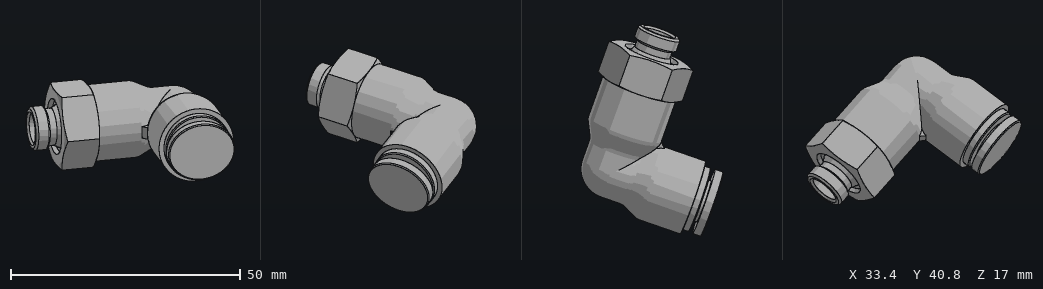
import cadquery as cq
import math


ELBOW_RADIUS = 13.0 / 2
ARM_RADIUS = 16.9 / 2
ARM_LENGTH = 19.05
SHOULDER_START = 4.97
SHOULDER_END = 8.95
SHOULDER_FILLET = 2.0
WEB_THICKNESS = 2.65
WEB_REACH = 17.95

HEX_FLATS = 17.0
HEX_CORNERS = HEX_FLATS / math.cos(math.radians(30))
HEX_LENGTH = 7.95
HEX_CHAMFER_HEIGHT = 0.4
THREAD_RADIUS = 9.75 / 2
THREAD_LENGTH = 2.8
THREAD_CHAMFER = 0.5
THREAD_BACK_TAPER = 0.5
NECK_RADIUS = 8.2 / 2
NECK_FLARE_HEIGHT = 0.5
NECK_FOOT_RADIUS = THREAD_RADIUS
RECESS_MOUTH_RADIUS = 12.22 / 2
RECESS_FLOOR_RADIUS = 11.65 / 2
RECESS_DEPTH = 1.0
BORE_RADIUS = 6.4 / 2
BORE_CHAMFER = 0.5
OVERALL_LENGTH = 40.75
STUD_LENGTH = OVERALL_LENGTH - ARM_RADIUS - ARM_LENGTH

COLLAR_RADIUS = 14.7 / 2
COLLAR_LENGTH = 1.7
COLLAR_CHAMFER = 0.25

OVERALL_WIDTH = 33.4
SLEEVE_START = ARM_LENGTH + COLLAR_LENGTH
SLEEVE_END = OVERALL_WIDTH - HEX_CORNERS / 2
SLEEVE_NECK_RADIUS = 9.6 / 2
FLANGE_WIDTH = 15.0
FLANGE_HEIGHT = 12.95
FLANGE_THICKNESS = 2.05
FLANGE_CHAMFER = 0.25


def make_arm():
    """Solid arm along +X: thin tube, filleted conical shoulder, wide barrel."""
    arm = (
        cq.Workplane("XY")
        .polyline([
            (0, 0),
            (0, ELBOW_RADIUS),
            (SHOULDER_START, ELBOW_RADIUS),
            (SHOULDER_END, ARM_RADIUS),
            (ARM_LENGTH, ARM_RADIUS),
            (ARM_LENGTH, 0),
        ])
        .close()
        .revolve(360, (0, 0, 0), (1, 0, 0))
    )
    inner_corner = arm.edges("%CIRCLE").edges(">>X[1]")
    outer_corner = arm.edges("%CIRCLE").edges(">>X[2]")
    return inner_corner.add(outer_corner).fillet(SHOULDER_FILLET)


def make_web():
    """Triangular web that fills the inner corner between the two barrels."""
    return (
        cq.Workplane("XY")
        .polyline([
            (WEB_REACH - ARM_RADIUS, -ARM_RADIUS),
            (0, 0),
            (ARM_RADIUS, ARM_RADIUS - WEB_REACH),
        ])
        .close()
        .extrude(WEB_THICKNESS / 2, both=True)
    )


def make_elbow():
    """Elbow housing: two equal arms, a ball on the outer bend and the web."""
    port_arm = make_arm()
    stud_arm = port_arm.rotate((0, 0, 0), (0, 0, 1), -90)
    corner_ball = cq.Workplane("XY").sphere(ELBOW_RADIUS)
    return port_arm.union(stud_arm).union(corner_ball).union(make_web())


def make_hexagon():
    """Hexagon along +Z from z = 0, corners on X, both ends turned to a shallow cone."""
    hexagon = cq.Workplane("XY").polygon(6, HEX_CORNERS).extrude(HEX_LENGTH)
    turned = (
        cq.Workplane("XZ")
        .polyline([
            (0, 0),
            (HEX_FLATS / 2, 0),
            (HEX_CORNERS / 2, HEX_CHAMFER_HEIGHT),
            (HEX_CORNERS / 2, HEX_LENGTH - HEX_CHAMFER_HEIGHT),
            (HEX_FLATS / 2, HEX_LENGTH),
            (0, HEX_LENGTH),
        ])
        .close()
        .revolve(360, (0, 0, 0), (0, 1, 0))
    )
    return hexagon.intersect(turned)


def make_recess():
    """Tapered recess in the hexagon's outer face."""
    return (
        cq.Workplane("XY", origin=(0, 0, HEX_LENGTH - RECESS_DEPTH))
        .circle(RECESS_FLOOR_RADIUS)
        .workplane(offset=RECESS_DEPTH)
        .circle(RECESS_MOUTH_RADIUS)
        .loft()
    )


def make_spigot():
    """Solid spigot along +Z: flared foot on the recess floor, neck, chamfered thread."""
    thread_start = STUD_LENGTH - THREAD_LENGTH
    floor = HEX_LENGTH - RECESS_DEPTH
    return (
        cq.Workplane("XZ")
        .moveTo(0, floor)
        .lineTo(NECK_FOOT_RADIUS, floor)
        .lineTo(NECK_RADIUS, HEX_LENGTH + NECK_FLARE_HEIGHT)
        .lineTo(NECK_RADIUS, thread_start - THREAD_BACK_TAPER)
        .lineTo(THREAD_RADIUS, thread_start)
        .lineTo(THREAD_RADIUS, STUD_LENGTH - THREAD_CHAMFER)
        .lineTo(THREAD_RADIUS - THREAD_CHAMFER, STUD_LENGTH)
        .lineTo(0, STUD_LENGTH)
        .close()
        .revolve(360, (0, 0, 0), (0, 1, 0))
    )


def make_stud():
    """Hexagonal stud on the -Y arm, bored right through."""
    stud = make_hexagon().cut(make_recess()).union(make_spigot())
    stud = stud.faces(">Z").workplane().circle(BORE_RADIUS).cutThruAll()
    bore_mouth = stud.faces(">Z").edges(cq.selectors.RadiusNthSelector(0))
    stud = bore_mouth.chamfer(BORE_CHAMFER)
    return stud.rotate((0, 0, 0), (1, 0, 0), 90).translate((0, -ARM_LENGTH, 0))


def make_collar():
    """Collar on the end face of the +X arm."""
    return (
        cq.Workplane("YZ", origin=(ARM_LENGTH, 0, 0))
        .circle(COLLAR_RADIUS)
        .extrude(COLLAR_LENGTH)
        .faces(">X")
        .edges()
        .chamfer(COLLAR_CHAMFER)
    )


def make_sleeve():
    """Release sleeve: round neck against the collar, oval flange at the end."""
    flange_start = SLEEVE_END - FLANGE_THICKNESS
    flange = (
        cq.Workplane("YZ", origin=(flange_start, 0, 0))
        .ellipse(FLANGE_WIDTH / 2, FLANGE_HEIGHT / 2)
        .extrude(FLANGE_THICKNESS)
        .faces(">X")
        .edges()
        .chamfer(FLANGE_CHAMFER)
    )
    neck = (
        cq.Workplane("YZ", origin=(SLEEVE_START, 0, 0))
        .circle(SLEEVE_NECK_RADIUS)
        .extrude(flange_start - SLEEVE_START)
    )
    return neck.union(flange)


elbow = make_elbow()
stud = make_stud()
collar = make_collar()
sleeve = make_sleeve()

result = cq.Compound.makeCompound([elbow.val(), stud.val(), collar.val(), sleeve.val()])